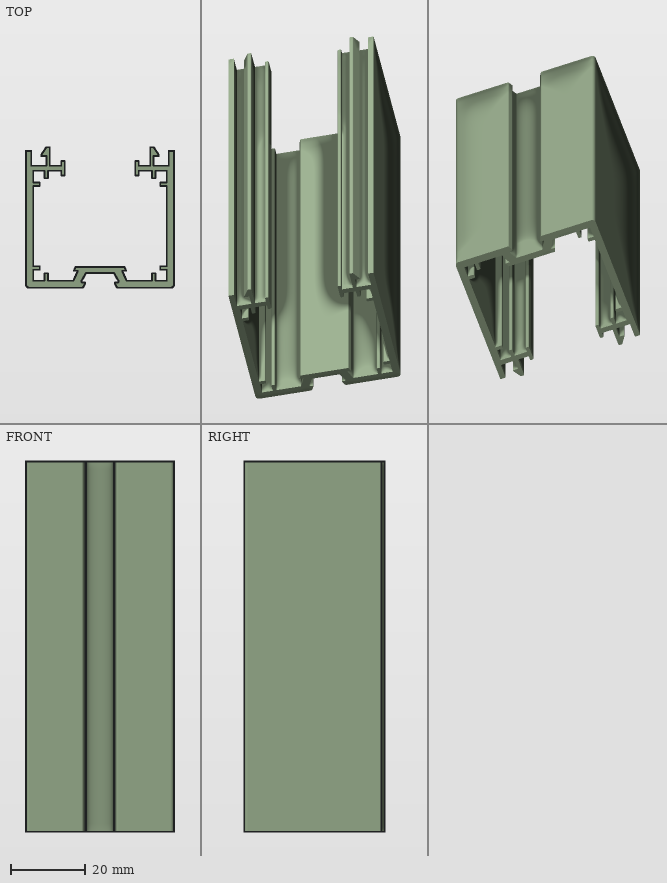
import cadquery as cq
import math

WIDTH = 40.0
LENGTH = 100.0
HALF_WIDTH = WIDTH / 2
HOOK_TOP = 38.0

WALL_TOP = 37.0
WALL = 2.0
FLOOR = 2.0
UPPER_WALL = 1.5
CORNER_RADIUS = 1.0

LEDGE_BOTTOM = 31.6
LEDGE_TOP = 33.0
LEDGE_REACH = 10.5
FLANGE_THICKNESS = 1.0
FLANGE_OVERHANG = 1.3

STEM_OUTER = 5.5
STEM_THICKNESS = 1.0
HOOK_REACH = 1.4
HOOK_UNDERSIDE = 35.6
HOOK_LIP = 0.3

RIB = 1.0
RIB_LENGTH = 2.0
RIB_INSET = 5.0
SIDE_RIB_LENGTH = 1.8
LOWER_SIDE_RIB = 4.9
UPPER_SIDE_RIB = 27.5

TIP_RADIUS = 0.3

RAISED_TOP = 5.7
RAISED_HALF_WIDTH = 6.6
TOOTH_HALF_WIDTH = 7.1
TOOTH_HEIGHT = 4.6
NECK_HALF_WIDTH = 6.0
WEB_FOOT_HALF_WIDTH = 7.2

SLOT_ROOF = 4.0
SLOT_WALL_ANGLE = 60.0
SLOT_HALF_WIDTH = 5.2
LIP_TOP = 1.5
MOUTH_HALF_WIDTH = 4.65
SLOT_RADIUS = 0.3
MOUTH_RADIUS = 0.5
LIP_RADIUS = 0.25

SLOT_SLOPE = math.tan(math.radians(SLOT_WALL_ANGLE))
SLOT_ROOF_HALF_WIDTH = SLOT_HALF_WIDTH - (SLOT_ROOF - LIP_TOP) / SLOT_SLOPE
LIP_HALF_GAP = MOUTH_HALF_WIDTH - LIP_TOP / SLOT_SLOPE

OUTER_X = -HALF_WIDTH


def block(inset_start, inset_end, y_start, y_end):
    """Full-length bar; insets are measured inward from the outer side face."""
    return (
        cq.Workplane("XY")
        .moveTo(OUTER_X + inset_start, y_start)
        .lineTo(OUTER_X + inset_end, y_start)
        .lineTo(OUTER_X + inset_end, y_end)
        .lineTo(OUTER_X + inset_start, y_end)
        .close()
        .extrude(LENGTH)
    )


def rounded(bar, end_selector):
    """Round the lengthwise edges at the chosen ends of a bar."""
    return bar.faces(end_selector).edges("|Z").fillet(TIP_RADIUS)


def side_wall():
    wall = block(0, WALL, 0, LEDGE_TOP)
    wall = wall.union(block(0, UPPER_WALL, LEDGE_BOTTOM, WALL_TOP))
    return wall.edges("|Z and <X and <Y").fillet(CORNER_RADIUS)


def floor_and_raised_centre():
    mouth_corner = (-MOUTH_HALF_WIDTH, 0)
    lip_tip = (-LIP_HALF_GAP, LIP_TOP)
    slot_corner = (-SLOT_HALF_WIDTH, LIP_TOP)
    outline = [
        (OUTER_X + CORNER_RADIUS, 0),
        mouth_corner,
        lip_tip,
        slot_corner,
        (-SLOT_ROOF_HALF_WIDTH, SLOT_ROOF),
        (0, SLOT_ROOF),
        (0, RAISED_TOP),
        (-RAISED_HALF_WIDTH, RAISED_TOP),
        (-TOOTH_HALF_WIDTH, TOOTH_HEIGHT),
        (-NECK_HALF_WIDTH, TOOTH_HEIGHT),
        (-WEB_FOOT_HALF_WIDTH, FLOOR),
        (OUTER_X + CORNER_RADIUS, FLOOR),
    ]
    body = cq.Workplane("XY").polyline(outline).close().extrude(LENGTH)
    roundings = [
        (mouth_corner, MOUTH_RADIUS),
        (lip_tip, LIP_RADIUS),
        (slot_corner, SLOT_RADIUS),
    ]
    for (x, y), radius in roundings:
        corner_edge = cq.selectors.NearestToPointSelector((x, y, LENGTH / 2))
        body = body.edges(corner_edge).fillet(radius)
    return body


def ledge():
    flange = block(
        LEDGE_REACH - FLANGE_THICKNESS,
        LEDGE_REACH,
        LEDGE_BOTTOM - FLANGE_OVERHANG,
        LEDGE_TOP + FLANGE_OVERHANG,
    )
    shelf = block(UPPER_WALL, LEDGE_REACH - FLANGE_THICKNESS, LEDGE_BOTTOM, LEDGE_TOP)
    return shelf.union(rounded(flange, "<Y or >Y"))


def hook():
    outer = OUTER_X + STEM_OUTER
    inner = outer + STEM_THICKNESS
    tip = outer - HOOK_REACH
    outline = [
        (outer, LEDGE_BOTTOM),
        (inner, LEDGE_BOTTOM),
        (inner, HOOK_TOP),
        (outer, HOOK_TOP),
        (tip, HOOK_UNDERSIDE + HOOK_LIP),
        (tip, HOOK_UNDERSIDE),
        (outer, HOOK_UNDERSIDE),
    ]
    return rounded(cq.Workplane("XY").polyline(outline).close().extrude(LENGTH), ">Y")


def locating_ribs():
    rib_end = RIB_INSET + RIB
    floor_rib = block(RIB_INSET, rib_end, 0, FLOOR + RIB_LENGTH)
    ledge_rib = block(RIB_INSET, rib_end, LEDGE_BOTTOM - RIB_LENGTH, LEDGE_TOP)
    ribs = rounded(floor_rib, ">Y").union(rounded(ledge_rib, "<Y"))
    for bottom in (LOWER_SIDE_RIB, UPPER_SIDE_RIB):
        side_rib = block(UPPER_WALL, WALL + SIDE_RIB_LENGTH, bottom, bottom + RIB)
        ribs = ribs.union(rounded(side_rib, ">X"))
    return ribs


left_half = side_wall()
for feature in (floor_and_raised_centre(), ledge(), hook(), locating_ribs()):
    left_half = left_half.union(feature)

result = left_half.union(left_half.mirror("YZ")).clean()